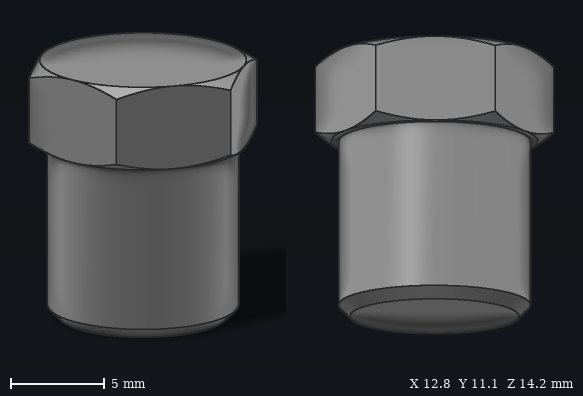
import cadquery as cq
import math

total_height = 14.17
across_flats = 11.08
head_height = 4.59
shank_diameter = 10.29
shank_chamfer = 0.61
head_chamfer_angle = 30.0

shank_length = total_height - head_height
flat_radius = across_flats / 2
corner_radius = flat_radius / math.cos(math.radians(30))
corner_drop = (corner_radius - flat_radius) * math.tan(math.radians(head_chamfer_angle))


def make_head():
    """Hexagonal head with its corners turned down conically at both ends."""
    hexagon = (
        cq.Workplane("XY")
        .workplane(offset=shank_length)
        .polygon(6, 2 * corner_radius)
        .extrude(head_height)
    )
    envelope = (
        cq.Workplane("XZ")
        .moveTo(0, shank_length)
        .lineTo(flat_radius, shank_length)
        .lineTo(corner_radius, shank_length + corner_drop)
        .lineTo(corner_radius, total_height - corner_drop)
        .lineTo(flat_radius, total_height)
        .lineTo(0, total_height)
        .close()
        .revolve(360, (0, 0, 0), (0, 1, 0))
    )
    return hexagon.intersect(envelope)


def make_shank():
    """Plain round shank with a chamfered lower end."""
    return (
        cq.Workplane("XY")
        .circle(shank_diameter / 2)
        .extrude(shank_length)
        .faces("<Z")
        .chamfer(shank_chamfer)
    )


result = make_head().union(make_shank())